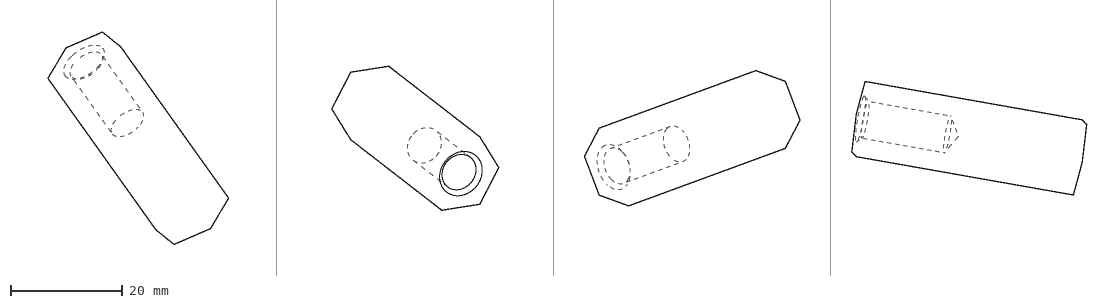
import cadquery as cq
import math

length = 40.0
side_count = 6
across_flats = 13.0
edge_radius = 0.1

hole_diameter = 6.7
countersink_diameter = 8.4
countersink_angle = 90.0
hole_depth = 16.0
drill_point_angle = 118.0


def cone_height(large_diameter, small_diameter, included_angle):
    """Axial length of a cone between two diameters."""
    return (large_diameter - small_diameter) / 2 / math.tan(math.radians(included_angle / 2))


def hexagonal_bar():
    across_corners = across_flats / math.cos(math.pi / side_count)
    bar = cq.Workplane("YZ").polygon(side_count, across_corners).extrude(length)
    return bar.edges().fillet(edge_radius)


def blind_hole():
    """Countersink, bore and drill point, revolved about the X axis."""
    hole_radius = hole_diameter / 2
    countersink_depth = cone_height(countersink_diameter, hole_diameter, countersink_angle)
    point_depth = cone_height(hole_diameter, 0, drill_point_angle)
    return (
        cq.Workplane("XY")
        .moveTo(0, 0)
        .lineTo(0, countersink_diameter / 2)
        .lineTo(countersink_depth, hole_radius)
        .lineTo(hole_depth, hole_radius)
        .lineTo(hole_depth + point_depth, 0)
        .close()
        .revolve(360, (0, 0, 0), (1, 0, 0))
    )


result = hexagonal_bar().cut(blind_hole())